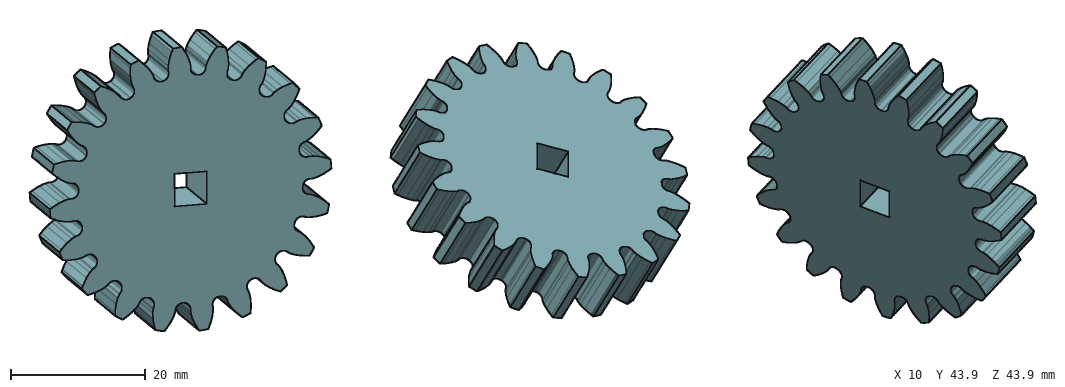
import cadquery as cq
import math

TEETH = 20
OUTER_DIAMETER = 44.0
PRESSURE_ANGLE = math.radians(20)
ROOT_CLEARANCE = 0.25
FACE_WIDTH = 10.0
BORE_SIDE = 5.0
ROLL_STEP = math.radians(8.1)
ROOT_LAND_WIDTH = 0.1

module = OUTER_DIAMETER / (TEETH + 2)
pitch_radius = module * TEETH / 2
outer_radius = OUTER_DIAMETER / 2
root_radius = pitch_radius - module * (1 + ROOT_CLEARANCE)
base_radius = pitch_radius * math.cos(PRESSURE_ANGLE)
tooth_pitch = 2 * math.pi / TEETH

pitch_roll = math.tan(PRESSURE_ANGLE)
tip_roll = math.sqrt((outer_radius / base_radius) ** 2 - 1)

base_half_angle = tooth_pitch / 4 + pitch_roll - PRESSURE_ANGLE
first_tooth_angle = base_half_angle
land_half_angle = ROOT_LAND_WIDTH / 2 / root_radius
land_angle = tooth_pitch / 2 - land_half_angle

fillet_sweep = land_angle - base_half_angle
fillet_width = base_radius * math.sin(fillet_sweep)
fillet_height = base_radius * math.cos(fillet_sweep) - root_radius
root_fillet_radius = (fillet_width**2 + fillet_height**2) / (2 * fillet_height)


def polar(radius, angle):
    """Point in the YZ plane; the angle runs from +Z towards -Y."""
    return (-radius * math.sin(angle), radius * math.cos(angle))


def flank_point(centre, side, roll):
    """Involute point on the flank at one side (-1 or 1) of a tooth centre."""
    radius = base_radius * math.sqrt(1 + roll**2)
    half_angle = base_half_angle - (roll - math.atan(roll))
    return polar(radius, centre + side * half_angle)


def add_flank(outline, centre, side, rolls):
    """Follow the involute through the given rolls, one arc per section."""
    for start, end in zip(rolls, rolls[1:]):
        middle = (start + end) / 2
        outline = outline.threePointArc(
            flank_point(centre, side, middle),
            flank_point(centre, side, end),
        )
    return outline


def gear_blank():
    """Toothed disc with involute flanks, round tips and filleted roots."""
    full_sections = int(tip_roll / ROLL_STEP)
    rolls = [ROLL_STEP * i for i in range(full_sections + 1)] + [tip_roll]

    outline = cq.Workplane("YZ").moveTo(*flank_point(first_tooth_angle, -1, 0))
    for tooth in range(TEETH):
        centre = first_tooth_angle + tooth_pitch * tooth
        gap_centre = centre + tooth_pitch / 2
        next_centre = centre + tooth_pitch
        outline = add_flank(outline, centre, -1, rolls)
        outline = outline.threePointArc(polar(outer_radius, centre), flank_point(centre, 1, tip_roll))
        outline = add_flank(outline, centre, 1, rolls[::-1])
        outline = outline.radiusArc(polar(root_radius, centre + land_angle), root_fillet_radius)
        outline = outline.threePointArc(
            polar(root_radius, gap_centre),
            polar(root_radius, gap_centre + land_half_angle),
        )
        outline = outline.radiusArc(flank_point(next_centre, -1, 0), root_fillet_radius)
    return outline.close().extrude(FACE_WIDTH / 2, both=True)


def square_bore():
    """Square through hole along the gear axis."""
    return cq.Workplane("YZ").rect(BORE_SIDE, BORE_SIDE).extrude(FACE_WIDTH / 2, both=True)


result = gear_blank().cut(square_bore())